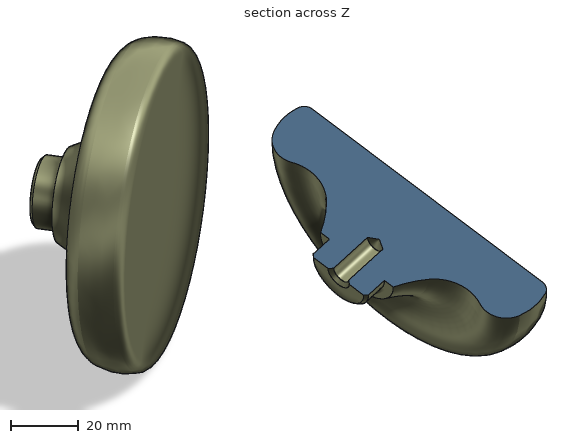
import cadquery as cq
import math


wheel_radius = 50.0
wheel_back = 39.0

hub_radius = 11.0
hub_length = 8.0
hub_chamfer = 1.0

shoulder_radius = 14.5
neck_end_x = 17.0
neck_end_radius = 20.3
neck_end_angle = math.radians(41)

rim_front = 20.0
roll_radius = 8.5
crown_radius = 17.0
crown_x = 31.5
corner_radius = 3.5

hole_radius = 3.0
hole_depth = 16.0
hole_chamfer = 1.2
drill_half_angle = math.radians(59)

turning_axis = ((0, 0), (1, 0))


def point_from(center, radius, angle):
    """Point at the given distance and angle from a centre."""
    return (center[0] + radius * math.cos(angle), center[1] + radius * math.sin(angle))


def angle_to(start, end):
    """Direction from start to end, in the range 0 to one full turn."""
    return math.atan2(end[1] - start[1], end[0] - start[0]) % math.tau


crown_center = (crown_x, wheel_radius - crown_radius)


def center_inside_crown(x, radius):
    """Centre, at the given X, of an arc that touches the crown from inside."""
    rise = math.sqrt((crown_radius - radius) ** 2 - (x - crown_x) ** 2)
    return (x, crown_center[1] + rise)


roll_center = center_inside_crown(rim_front + roll_radius, roll_radius)
corner_center = center_inside_crown(wheel_back - corner_radius, corner_radius)
crown_start_angle = angle_to(crown_center, roll_center)
crown_end_angle = angle_to(crown_center, corner_center)
crown_start = point_from(crown_center, crown_radius, crown_start_angle)
crown_end = point_from(crown_center, crown_radius, crown_end_angle)

neck_end = (neck_end_x, neck_end_radius)
dish_direction = neck_end_angle + math.pi / 2
offset_x = neck_end_x - roll_center[0]
offset_radius = neck_end_radius - roll_center[1]
offset_along_normal = offset_x * math.cos(dish_direction) + offset_radius * math.sin(dish_direction)
dish_radius = (offset_x**2 + offset_radius**2 - roll_radius**2) / (2 * (roll_radius - offset_along_normal))
dish_center = point_from(neck_end, dish_radius, dish_direction)
roll_start_angle = angle_to(roll_center, dish_center)
roll_start = point_from(roll_center, roll_radius, roll_start_angle)
dish_start_angle = dish_direction - math.pi
dish_end_angle = roll_start_angle - math.pi
dish_middle = point_from(dish_center, dish_radius, (dish_start_angle + dish_end_angle) / 2)
roll_middle = point_from(roll_center, roll_radius, (roll_start_angle + crown_start_angle) / 2)
corner_middle = point_from(corner_center, corner_radius, crown_end_angle / 2)


def make_wheel():
    """Solid of revolution for the hub, neck, dish and rim."""
    neck = cq.Edge.makeTangentArc(
        cq.Vector(*neck_end),
        cq.Vector(-math.cos(neck_end_angle), -math.sin(neck_end_angle)),
        cq.Vector(hub_length, shoulder_radius),
    )
    neck_middle = neck.positionAt(0.5)
    profile = (
        cq.Workplane("XY")
        .moveTo(0, 0)
        .lineTo(0, hub_radius - hub_chamfer)
        .lineTo(hub_chamfer, hub_radius)
        .lineTo(hub_length, hub_radius)
        .lineTo(hub_length, shoulder_radius)
        .threePointArc((neck_middle.x, neck_middle.y), neck_end)
        .threePointArc(dish_middle, roll_start)
        .threePointArc(roll_middle, crown_start)
        .threePointArc((crown_x, wheel_radius), crown_end)
        .threePointArc(corner_middle, (wheel_back, corner_center[1]))
        .lineTo(wheel_back, 0)
        .close()
    )
    return profile.revolve(360, *turning_axis)


def make_hole():
    """Chamfered blind hole on the wheel axis."""
    drill_tip = hole_depth + hole_radius / math.tan(drill_half_angle)
    profile = (
        cq.Workplane("XY")
        .moveTo(0, 0)
        .lineTo(0, hole_radius + hole_chamfer)
        .lineTo(hole_chamfer, hole_radius)
        .lineTo(hole_depth, hole_radius)
        .lineTo(drill_tip, 0)
        .close()
    )
    return profile.revolve(360, *turning_axis)


result = make_wheel().cut(make_hole())